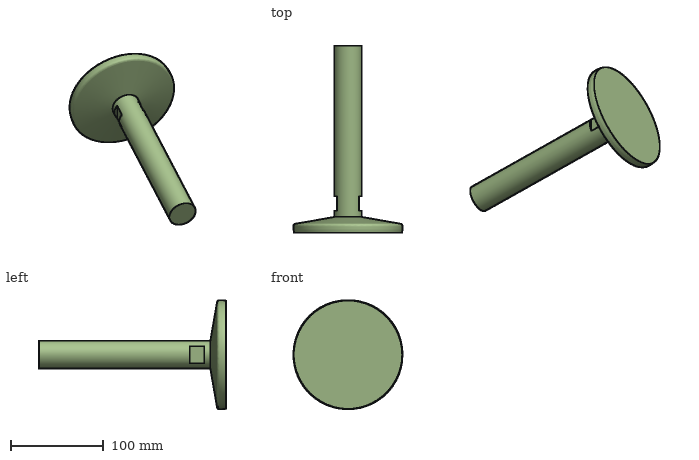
import cadquery as cq

total_length = 202.0
plate_diameter = 118.0
stem_diameter = 30.0

plate_rim_height = 9.5
cone_top = 17.2
rim_fillet = 3.0
base_taper_height = 3.8
base_taper_inset = 0.6

flat_start = 23.8
flat_length = 15.4
across_flats = 24.0

plate_radius = plate_diameter / 2
stem_radius = stem_diameter / 2


def make_plate():
    """Round plate with a conical back, rounded at the rim and tapered at the base."""
    plate = (
        cq.Workplane("XY")
        .moveTo(0, 0)
        .lineTo(plate_radius - base_taper_inset, 0)
        .lineTo(plate_radius, base_taper_height)
        .lineTo(plate_radius, plate_rim_height)
        .lineTo(stem_radius, cone_top)
        .lineTo(0, cone_top)
        .close()
        .revolve(360, (0, 0, 0), (0, 1, 0))
    )
    rim_slice = cq.selectors.BoxSelector(
        (-plate_diameter, plate_rim_height - rim_fillet / 2, -plate_diameter),
        (plate_diameter, plate_rim_height + rim_fillet / 2, plate_diameter),
    )
    return plate.edges("%CIRCLE").edges(rim_slice).fillet(rim_fillet)


def make_stem():
    """Plain cylinder from the base to the free end."""
    return cq.Workplane("XZ").circle(stem_radius).extrude(-total_length)


def make_flat_cutter(side):
    """Block that removes the stem outside one wrench flat; side is +1 or -1."""
    return cq.Workplane("XY").box(
        stem_diameter, flat_length, stem_diameter
    ).translate((
        side * (across_flats + stem_diameter) / 2,
        flat_start + flat_length / 2,
        0,
    ))


stem = make_stem()
for side in (-1, 1):
    stem = stem.cut(make_flat_cutter(side))

result = make_plate().union(stem)